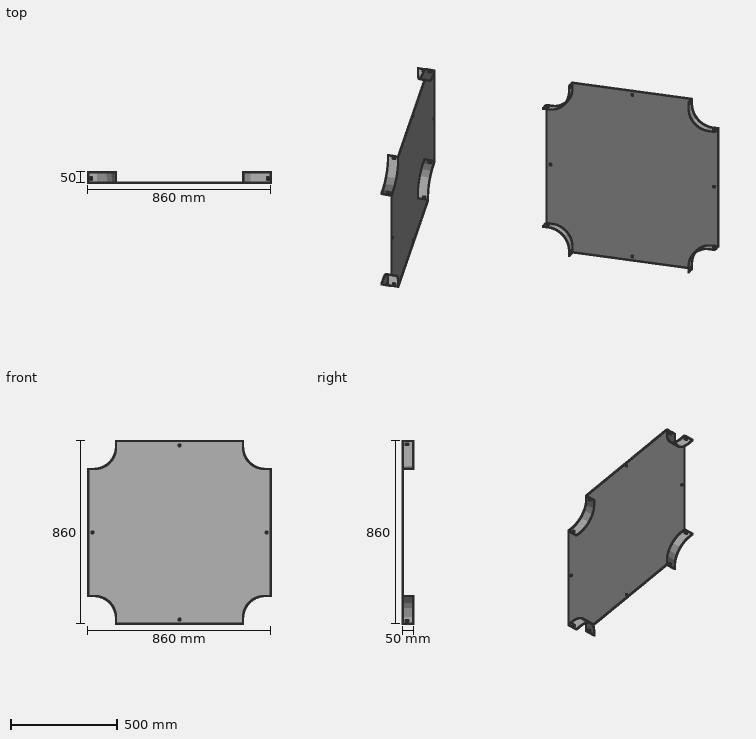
import cadquery as cq

side = 860.0
depth = 50.0
sheet = 0.7
notch = 131.0
flat_length = 29.0
hole_diameter = 7.0
hole_inset = 21.0
slot_length = 12.0
slot_width = 5.0
slot_inset = 15.0
slot_setback = 20.0

half = side / 2
notch_edge = half - notch
arc_radius = notch - flat_length
arc_centre = half - flat_length
slot_position = half - slot_inset


def notched_outline(offset, thickness):
    """Square with concave corners, notches grown inward by offset, extruded from the face to the rear."""
    edge = notch_edge - offset
    radius = arc_radius + offset
    cross = (
        cq.Workplane("XZ")
        .rect(side, 2 * edge)
        .extrude(-thickness)
        .union(cq.Workplane("XZ").rect(2 * edge, side).extrude(-thickness))
        .union(cq.Workplane("XZ").rect(2 * arc_centre, 2 * arc_centre).extrude(-thickness))
    )
    rounds = (
        cq.Workplane("XZ")
        .rect(2 * arc_centre, 2 * arc_centre, forConstruction=True)
        .vertices()
        .circle(radius)
        .extrude(-thickness)
    )
    return cross.cut(rounds)


def panel():
    return notched_outline(0, sheet)


def corner_flanges():
    """Walls following the four notches, one sheet thick."""
    return notched_outline(0, depth).cut(notched_outline(sheet, depth))


def panel_holes():
    position = half - hole_inset
    centres = [(position, 0), (-position, 0), (0, position), (0, -position)]
    return cq.Workplane("XZ").pushPoints(centres).circle(hole_diameter / 2).extrude(-sheet)


def flange_slots():
    """Slots through the straight ends of the flanges, cut right across the part."""
    ends = [-slot_position, slot_position]
    along_z = (
        cq.Workplane("XY")
        .pushPoints([(x, slot_setback) for x in ends])
        .slot2D(slot_length, slot_width, 90)
        .extrude(half, both=True)
    )
    along_x = (
        cq.Workplane("YZ")
        .pushPoints([(slot_setback, z) for z in ends])
        .slot2D(slot_length, slot_width)
        .extrude(half, both=True)
    )
    return along_z.union(along_x)


result = panel().union(corner_flanges()).cut(panel_holes()).cut(flange_slots())